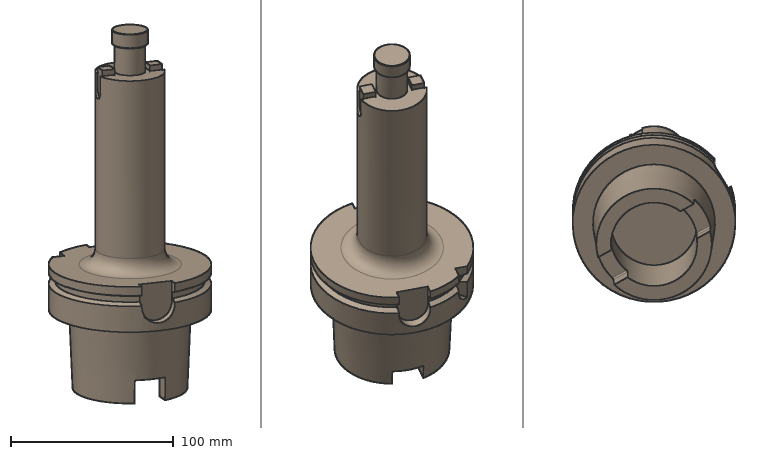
import cadquery as cq
import math

taper_length = 50.0
taper_large_radius = 37.5
taper_small_radius = 35.4
shank_bore_radius = 26.5

flange_radius = 50.0
flange_thickness = 29.0
groove_floor_radius = 46.0
groove_top_depth = 5.6
groove_bottom_depth = 12.4
groove_flank_height = 1.5

nose_length = 152.4
nose_radius = 21.45
nose_fillet = 10.0
pilot_radius = 9.525
pilot_length = 17.5

total_height = 229.25
screw_radius = 11.1
screw_top_chamfer = 0.35
screw_bottom_chamfer = 0.6

key_width = 8.0
key_inner = 11.6
key_outer = 19.6
key_projection = 3.6
key_seat_depth = 15.2

slot_depth = 24.0
left_slot_width = 20.0
left_slot_floor = 43.7
right_slot_width = 21.6
right_slot_floor = 43.5

notch_radius = 10.0
notch_corner = 31.3

shank_slot_width = 20.0
left_shank_slot_height = 10.0
right_shank_slot_height = 15.0
shank_slot_fillet = 1.0

flange_top = taper_length + flange_thickness
nose_top = taper_length + nose_length
pilot_top = nose_top + pilot_length
key_top = nose_top + key_projection
key_bottom = nose_top - key_seat_depth


def holder_blank():
    """Turned body: taper, grooved flange, filleted nose and pilot, with the shank bore."""
    groove_top = flange_top - groove_top_depth
    groove_bottom = flange_top - groove_bottom_depth
    fillet_middle = nose_fillet * (1 - math.sqrt(0.5))
    return (
        cq.Workplane("XZ")
        .moveTo(shank_bore_radius, 0)
        .lineTo(taper_small_radius, 0)
        .lineTo(taper_large_radius, taper_length)
        .lineTo(flange_radius, taper_length)
        .lineTo(flange_radius, groove_bottom)
        .lineTo(groove_floor_radius, groove_bottom + groove_flank_height)
        .lineTo(groove_floor_radius, groove_top - groove_flank_height)
        .lineTo(flange_radius, groove_top)
        .lineTo(flange_radius, flange_top)
        .lineTo(nose_radius + nose_fillet, flange_top)
        .threePointArc(
            (nose_radius + fillet_middle, flange_top + fillet_middle),
            (nose_radius, flange_top + nose_fillet),
        )
        .lineTo(nose_radius, nose_top)
        .lineTo(pilot_radius, nose_top)
        .lineTo(pilot_radius, pilot_top)
        .lineTo(0, pilot_top)
        .lineTo(0, taper_length)
        .lineTo(shank_bore_radius, taper_length)
        .close()
        .revolve(360, (0, 0, 0), (0, 1, 0))
    )


def round_bottom_prism(plane, width, bottom, top):
    """Outline of an upright slot centred on the plane's origin, with a full-round lower end."""
    radius = width / 2
    return (
        cq.Workplane(plane)
        .moveTo(-radius, top)
        .lineTo(-radius, bottom + radius)
        .threePointArc((0, bottom), (radius, bottom + radius))
        .lineTo(radius, top)
        .close()
    )


def flange_slot(center_y, width, floor, side):
    """Cutter running in from the rim on the given X side (-1 or +1) down to a flat floor."""
    plane = cq.Plane(origin=(side * floor, center_y, 0), xDir=(0, 1, 0), normal=(1, 0, 0))
    sketch = round_bottom_prism(plane, width, flange_top - slot_depth, flange_top)
    return sketch.extrude(side * (flange_radius - floor))


def shank_slot(side, height):
    """Cutter through the shank wall on one X side, open at the small end."""
    return (
        cq.Workplane("XY")
        .box(taper_large_radius, shank_slot_width, height, centered=(False, True, False))
        .edges("|X and >Z")
        .fillet(shank_slot_fillet)
        .rotate((0, 0, 0), (0, 0, 1), 0 if side > 0 else 180)
    )


def key_prism(side, outer):
    """Round-bottomed block on one Y side, from the key's inner face out to the given distance."""
    plane = cq.Plane(origin=(0, side * key_inner, 0), xDir=(1, 0, 0), normal=(0, -1, 0))
    sketch = round_bottom_prism(plane, key_width, key_bottom, key_top)
    return sketch.extrude(-side * (outer - key_inner))


holder = holder_blank()
holder = holder.cut(flange_slot(0, left_slot_width, left_slot_floor, -1))
holder = holder.cut(flange_slot(0, right_slot_width, right_slot_floor, 1))
notch_center_y = -(notch_corner + notch_radius)
holder = holder.cut(flange_slot(notch_center_y, 2 * notch_radius, notch_corner, -1))
holder = holder.cut(shank_slot(-1, left_shank_slot_height))
holder = holder.cut(shank_slot(1, right_shank_slot_height))
for side in (-1, 1):
    holder = holder.cut(key_prism(side, nose_radius))

keys = [key_prism(side, key_outer) for side in (-1, 1)]

screw = (
    cq.Workplane("XY")
    .workplane(offset=pilot_top)
    .circle(screw_radius)
    .extrude(total_height - pilot_top)
    .faces("<Z")
    .chamfer(screw_bottom_chamfer)
    .faces(">Z")
    .chamfer(screw_top_chamfer)
)

result = cq.Compound.makeCompound([holder.val(), screw.val(), *[key.val() for key in keys]])